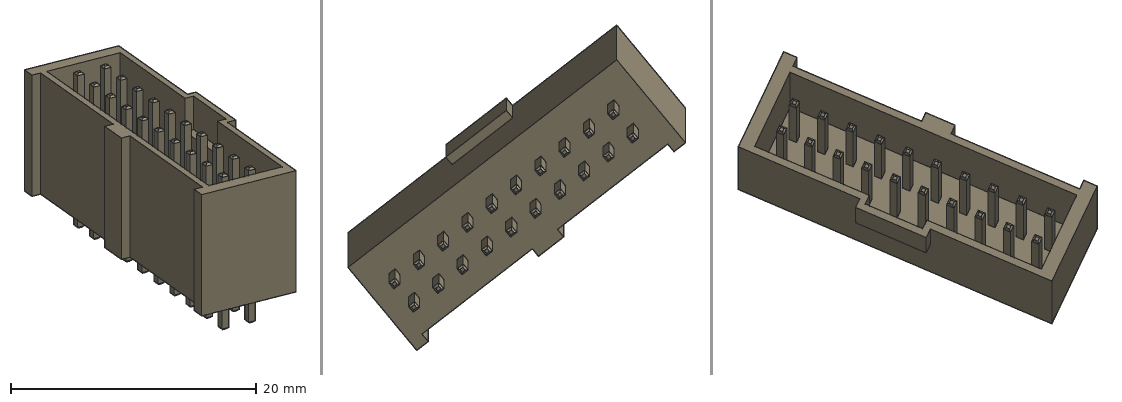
import cadquery as cq


length = 28.1
height = 10.93
end_wall = 1.2
side_wall = 0.6
cavity_width = 7.0
floor_thickness = 1.97
cavity_length = length - 2 * end_wall
wall_outer_y = cavity_width / 2 + side_wall

rib_depth = 0.81
center_rib_width = 2.65

key_width = 6.32
key_depth = 0.81
key_height = 3.9
recess_width = key_width - 2 * side_wall
recess_height = 3.0

columns = 10
rows = 2
row_length = 22.87
pitch = row_length / (columns - 1)
pin_size = 0.65
pin_tail = 3.05
pin_top_z = height
pin_tip_chamfer = 0.17


def block(width, y_min, y_max, z_min, z_max, x_center=0.0):
    """Box centred on x_center, spanning the given Y and Z ranges."""
    return (
        cq.Workplane("XY")
        .box(width, y_max - y_min, z_max - z_min, centered=(True, False, False))
        .translate((x_center, y_min, z_min))
    )


def make_housing():
    housing = block(length, -wall_outer_y, wall_outer_y, 0, height)

    rib_front_y = -wall_outer_y - rib_depth
    end_rib_x = (length - end_wall) / 2
    ribs = ((-end_rib_x, end_wall), (0.0, center_rib_width), (end_rib_x, end_wall))
    for rib_x, rib_width in ribs:
        housing = housing.union(block(rib_width, rib_front_y, -wall_outer_y, 0, height, rib_x))

    key_outer_y = wall_outer_y + key_depth
    housing = housing.union(block(key_width, wall_outer_y, key_outer_y, height - key_height, height))

    housing = housing.cut(block(cavity_length, -cavity_width / 2, cavity_width / 2, floor_thickness, height))
    recess_outer_y = key_outer_y - side_wall
    return housing.cut(block(recess_width, 0, recess_outer_y, height - recess_height, height))


def make_pins():
    pin = block(pin_size, -pin_size / 2, pin_size / 2, -pin_tail, pin_top_z)
    pin = pin.faces("<Z or >Z").chamfer(pin_tip_chamfer)
    return (
        cq.Workplane("XY")
        .rarray(pitch, pitch, columns, rows)
        .eachpoint(lambda location: pin.val().moved(location))
    )


result = make_housing().union(make_pins())